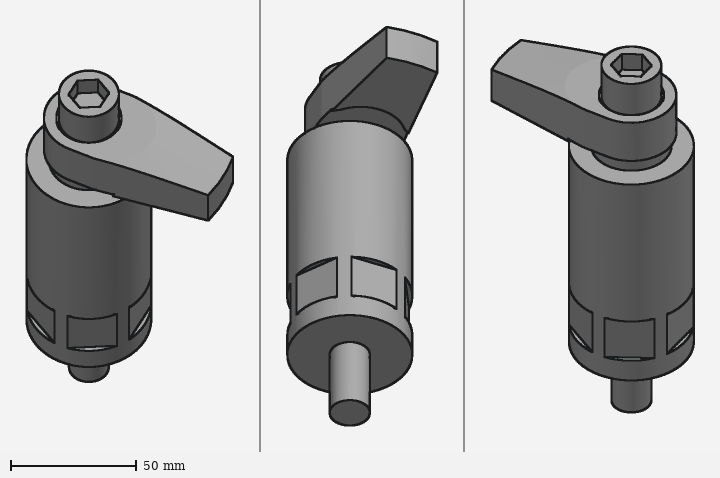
import cadquery as cq
import math

total_height = 171.0

housing_radius = 25.0
housing_bottom = 30.0
housing_top = 130.0
neck_radius = 16.0
neck_top = 136.5
flat_count = 6
flat_distance = 22.9
flat_bottom = 40.0
flat_height = 20.0

hub_radius = 18.0
hub_shift = 10.1
lever_top = 156.0
lever_reach = 59.8
taper_angle = 8.2
handle_drop = 1.0
clearance_radius = 25.5

shank_radius = 8.0
head_radius = 12.0
head_height = 16.0
counterbore_radius = 13.0
socket_sides = 6
socket_across_flats = 14.0
socket_depth = 8.0
head_seat = total_height - head_height


def cylinder(radius, bottom, top):
    return cq.Workplane("XY").workplane(offset=bottom).circle(radius).extrude(top - bottom)


def make_housing():
    """Round housing with a neck, a through bore and a ring of wrench flats."""
    body = cylinder(housing_radius, housing_bottom, housing_top)
    body = body.union(cylinder(neck_radius, housing_top, neck_top))
    flat_depth = housing_radius - flat_distance
    for index in range(flat_count):
        flat_cutter = (
            cq.Workplane("XY")
            .box(flat_depth, 2 * housing_radius, flat_height, centered=(False, True, False))
            .translate((flat_distance, 0, flat_bottom))
            .rotate((0, 0, 0), (0, 0, 1), index * 360 / flat_count)
        )
        body = body.cut(flat_cutter)
    return body.cut(cylinder(shank_radius, housing_bottom, neck_top))


def make_hub():
    """Obround hub whose left end is centred on the screw."""
    return (
        cq.Workplane("XY")
        .workplane(offset=neck_top)
        .center(hub_shift / 2, 0)
        .slot2D(hub_shift + 2 * hub_radius, 2 * hub_radius)
        .extrude(lever_top - neck_top)
    )


def make_handle():
    """Handle with sides tangent to the hub end, a round tip and a conical top."""
    taper = math.radians(taper_angle)
    root_x = hub_shift + hub_radius * math.sin(taper)
    root_y = hub_radius * math.cos(taper)

    side_offset = root_x * math.sin(taper) + root_y * math.cos(taper)
    tip_angle = math.asin(side_offset / lever_reach) - taper
    tip_x = lever_reach * math.cos(tip_angle)
    tip_y = lever_reach * math.sin(tip_angle)

    handle_bottom = neck_top - handle_drop
    blade = (
        cq.Workplane("XY")
        .workplane(offset=handle_bottom)
        .moveTo(root_x, root_y)
        .lineTo(tip_x, tip_y)
        .threePointArc((lever_reach, 0), (tip_x, -tip_y))
        .lineTo(root_x, -root_y)
        .threePointArc((hub_shift + hub_radius, 0), (root_x, root_y))
        .close()
        .extrude(lever_top - handle_bottom)
    )

    cone_radius = lever_reach
    cone_edge = lever_top - (cone_radius - hub_radius) * math.tan(taper)
    cone = (
        cq.Workplane("XZ")
        .moveTo(0, handle_bottom)
        .lineTo(cone_radius, handle_bottom)
        .lineTo(cone_radius, cone_edge)
        .lineTo(hub_radius, lever_top)
        .lineTo(0, lever_top)
        .close()
        .revolve(360, (0, 0, 0), (0, 1, 0))
        .translate((hub_shift, 0, 0))
    )
    return blade.intersect(cone)


def make_lever():
    """Hub and handle in one piece, bored and counterbored for the screw."""
    body = make_hub().union(make_handle())
    body = body.cut(cylinder(clearance_radius, neck_top - handle_drop, neck_top))
    body = body.cut(cylinder(shank_radius, neck_top, lever_top))
    return body.cut(cylinder(counterbore_radius, head_seat, lever_top))


def make_screw():
    """Socket head screw that runs through the lever and the housing."""
    body = cylinder(shank_radius, 0, head_seat)
    body = body.union(cylinder(head_radius, head_seat, total_height))
    socket_across_corners = socket_across_flats / math.cos(math.pi / socket_sides)
    socket = (
        cq.Workplane("XY")
        .polygon(socket_sides, socket_across_corners)
        .extrude(socket_depth)
        .rotate((0, 0, 0), (0, 0, 1), 180 / socket_sides)
        .translate((0, 0, total_height - socket_depth))
    )
    return body.cut(socket)


housing = make_housing()
lever = make_lever()
screw = make_screw()

result = cq.Compound.makeCompound([body.solids().val() for body in (housing, lever, screw)])